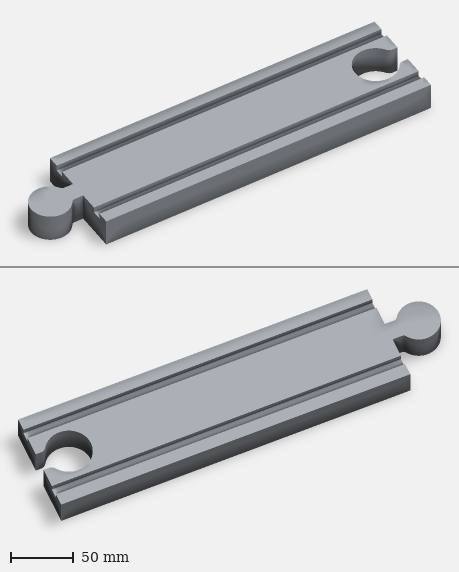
import cadquery as cq
import math

total_length = 348.0
track_width = 86.3
thickness = 25.5

peg_diameter = 35.5
peg_reach = 44.0
neck_width = 15.5
neck_fillet = 4.0

socket_diameter = 38.3
socket_depth = 44.5
mouth_width = 15.5
mouth_rounding = 6.0

groove_width = 8.5
groove_depth = 5.2
groove_margin = 10.5

track_length = total_length - peg_reach
socket_center_y = track_length - socket_depth + socket_diameter / 2
peg_center_y = -peg_reach + peg_diameter / 2
groove_offset = track_width / 2 - groove_margin - groove_width / 2


def corner_rise(diameter, strip_width):
    """Distance along Y from a circle's center to where a centered strip meets the circle."""
    return math.sqrt((diameter / 2) ** 2 - (strip_width / 2) ** 2)


def round_corner_pair(body, spacing, corner_y, radius):
    """Fillet the two upright edges at corner_y that lie either side of the Y axis."""
    for side in (-1, 1):
        corner = (side * spacing / 2, corner_y, thickness / 2)
        body = body.edges("|Z").edges(cq.NearestToPointSelector(corner)).fillet(radius)
    return body


def cut_socket(body):
    """Cut the round socket with its narrow mouth and round the mouth's inner corners."""
    bore = (
        cq.Workplane("XY")
        .center(0, socket_center_y)
        .circle(socket_diameter / 2)
        .extrude(thickness)
    )
    mouth_length = track_length - socket_center_y
    mouth = (
        cq.Workplane("XY")
        .center(0, socket_center_y + mouth_length / 2)
        .rect(mouth_width, mouth_length)
        .extrude(thickness)
    )
    body = body.cut(bore.union(mouth))

    corner_y = socket_center_y + corner_rise(socket_diameter, mouth_width)
    return round_corner_pair(body, mouth_width, corner_y, mouth_rounding)


def cut_grooves(body):
    """Cut the two wheel grooves along the full length of the top face."""
    for side in (-1, 1):
        groove = (
            cq.Workplane("XY", origin=(side * groove_offset, track_length / 2, thickness))
            .rect(groove_width, track_length)
            .extrude(-groove_depth)
        )
        body = body.cut(groove)
    return body


def make_track():
    """Straight track block with a socket at one end and two wheel grooves."""
    block = (
        cq.Workplane("XY")
        .center(0, track_length / 2)
        .rect(track_width, track_length)
        .extrude(thickness)
    )
    return cut_grooves(cut_socket(block))


def make_peg():
    """Round-headed peg with a filleted neck that butts against the end face of the track."""
    head = (
        cq.Workplane("XY")
        .center(0, peg_center_y)
        .circle(peg_diameter / 2)
        .extrude(thickness)
    )
    neck = (
        cq.Workplane("XY")
        .center(0, peg_center_y / 2)
        .rect(neck_width, -peg_center_y)
        .extrude(thickness)
    )
    corner_y = peg_center_y + corner_rise(peg_diameter, neck_width)
    return round_corner_pair(head.union(neck), neck_width, corner_y, neck_fillet)


track = make_track()
peg = make_peg()

result = cq.Compound.makeCompound([track.val(), peg.val()])